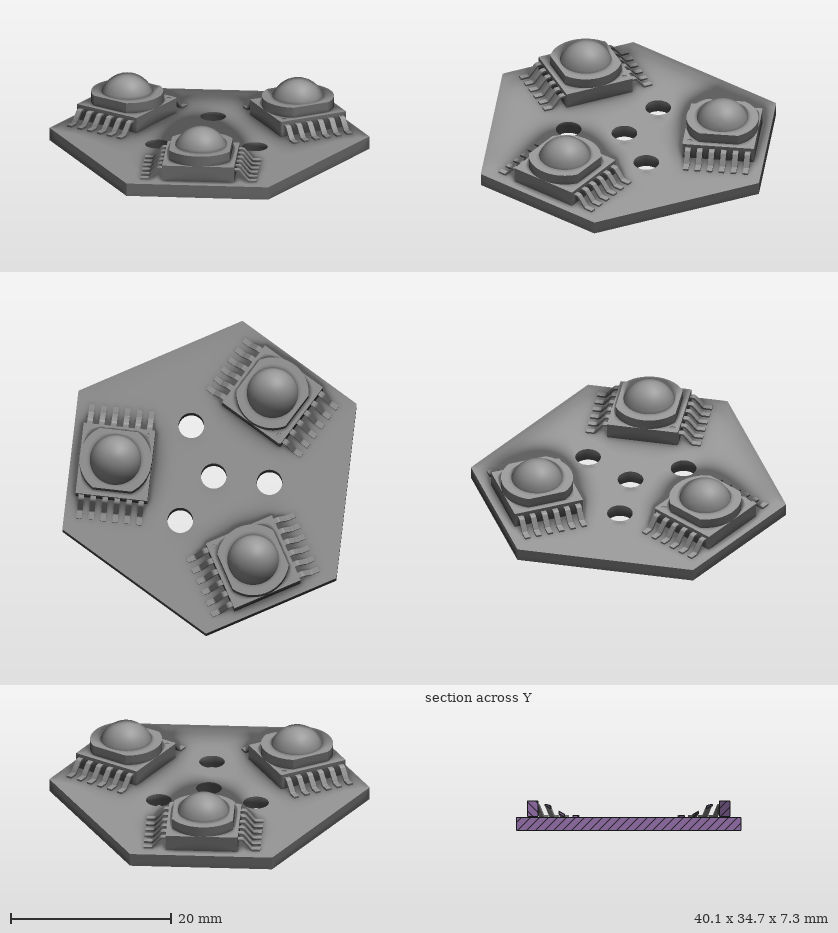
import cadquery as cq
import math

BOARD_WIDTH = 40.1
SHORT_SIDE = 17.75
LONG_SIDE = BOARD_WIDTH - SHORT_SIDE
SHORT_SIDE_DISTANCE = (SHORT_SIDE + 2 * LONG_SIDE) / (2 * math.sqrt(3))
BOARD_THICKNESS = 1.65
HOLE_DIAMETER = 3.2
HOLE_RING_RADIUS = 7.0
REPEAT_ANGLES = (0, 120, 240)

SENSOR_RADIUS = 12.35
OVERALL_HEIGHT = 7.3
PACKAGE_SIZE = 9.0
STANDOFF = 0.1
PACKAGE_TOP = 2.1
MARKED_CORNER_RADIUS = 0.25
COLLAR_TOP = 3.4
COLLAR_DIAMETER = PACKAGE_SIZE
COLLAR_FLAT_WIDTH = 7.6
DOME_BASE_RADIUS = 3.2
DOME_TOP = OVERALL_HEIGHT - BOARD_THICKNESS
MARK_DIAMETER = 0.7
MARK_OFFSET = 3.7
MARK_DEPTH = 0.1

LEADS_PER_SIDE = 6
LEAD_PITCH = PACKAGE_SIZE / LEADS_PER_SIDE
LEAD_WIDTH = 0.7
LEAD_THICKNESS = 0.25
LEAD_INNER_BEND = 0.25
LEAD_OUTER_BEND = LEAD_INNER_BEND + LEAD_THICKNESS
LEAD_TOP = 1.65
LEAD_SHOULDER = 4.9
LEAD_TIP = 7.3
LEAD_SLOPE = math.radians(51)


def point_on_arc(center, radius, angle):
    """Point at an angle from vertical; a negative radius gives the opposite side of the circle."""
    return center[0] + radius * math.sin(angle), center[1] + radius * math.cos(angle)


def make_board():
    half_side = SHORT_SIDE / 2
    corners = []
    for angle in REPEAT_ANGLES:
        turn = math.radians(angle)
        for x in (half_side, -half_side):
            corners.append((
                x * math.cos(turn) - SHORT_SIDE_DISTANCE * math.sin(turn),
                x * math.sin(turn) + SHORT_SIDE_DISTANCE * math.cos(turn),
            ))
    board = cq.Workplane("XY").polyline(corners).close().extrude(BOARD_THICKNESS)
    central_hole = cq.Workplane("XY").circle(HOLE_DIAMETER / 2).extrude(BOARD_THICKNESS)
    board = board.cut(central_hole)
    outer_hole = central_hole.translate((0, -HOLE_RING_RADIUS, 0))
    for angle in REPEAT_ANGLES:
        board = board.cut(outer_hole.rotate((0, 0, 0), (0, 0, 1), angle))
    return board


def make_lead():
    """One lead on the +X side, centred on Y = 0, with its foot on Z = 0."""
    upper = (LEAD_SHOULDER, LEAD_TOP - LEAD_OUTER_BEND)
    foot_z = LEAD_OUTER_BEND
    radii_sum = LEAD_OUTER_BEND + LEAD_INNER_BEND
    drop = upper[1] - foot_z
    run = (radii_sum + drop * math.cos(LEAD_SLOPE)) / math.sin(LEAD_SLOPE)
    foot = (LEAD_SHOULDER + run, foot_z)

    half_slope = LEAD_SLOPE / 2
    root = PACKAGE_SIZE / 2
    return (
        cq.Workplane("XZ")
        .moveTo(root, LEAD_TOP)
        .lineTo(*point_on_arc(upper, LEAD_OUTER_BEND, 0))
        .threePointArc(
            point_on_arc(upper, LEAD_OUTER_BEND, half_slope),
            point_on_arc(upper, LEAD_OUTER_BEND, LEAD_SLOPE),
        )
        .lineTo(*point_on_arc(foot, -LEAD_INNER_BEND, LEAD_SLOPE))
        .threePointArc(
            point_on_arc(foot, -LEAD_INNER_BEND, half_slope),
            point_on_arc(foot, -LEAD_INNER_BEND, 0),
        )
        .lineTo(LEAD_TIP, LEAD_THICKNESS)
        .lineTo(LEAD_TIP, 0)
        .lineTo(*point_on_arc(foot, -LEAD_OUTER_BEND, 0))
        .threePointArc(
            point_on_arc(foot, -LEAD_OUTER_BEND, half_slope),
            point_on_arc(foot, -LEAD_OUTER_BEND, LEAD_SLOPE),
        )
        .lineTo(*point_on_arc(upper, LEAD_INNER_BEND, LEAD_SLOPE))
        .threePointArc(
            point_on_arc(upper, LEAD_INNER_BEND, half_slope),
            point_on_arc(upper, LEAD_INNER_BEND, 0),
        )
        .lineTo(root, LEAD_TOP - LEAD_THICKNESS)
        .close()
        .extrude(LEAD_WIDTH / 2, both=True)
    )


def make_collar():
    """Round collar with a flat on its +X and -X sides."""
    height = COLLAR_TOP - PACKAGE_TOP
    disc = cq.Workplane("XY").circle(COLLAR_DIAMETER / 2).extrude(height)
    flats = cq.Workplane("XY").rect(COLLAR_FLAT_WIDTH, COLLAR_DIAMETER).extrude(height)
    return disc.intersect(flats).translate((0, 0, PACKAGE_TOP))


def make_dome():
    """Spherical cap standing on the collar."""
    rise = DOME_TOP - COLLAR_TOP
    sphere_radius = (DOME_BASE_RADIUS ** 2 + rise ** 2) / (2 * rise)
    sphere_center_z = DOME_TOP - sphere_radius
    half_angle = math.asin(DOME_BASE_RADIUS / sphere_radius)
    halfway = point_on_arc((0, sphere_center_z), sphere_radius, half_angle / 2)
    return (
        cq.Workplane("XZ")
        .moveTo(0, COLLAR_TOP)
        .lineTo(DOME_BASE_RADIUS, COLLAR_TOP)
        .threePointArc(halfway, (0, DOME_TOP))
        .close()
        .revolve(360, (0, 0), (0, 1))
    )


def make_sensor():
    """Package, collar, dome and leads as one solid, centred on the Z axis."""
    sensor = (
        cq.Workplane("XY")
        .workplane(offset=STANDOFF)
        .rect(PACKAGE_SIZE, PACKAGE_SIZE)
        .extrude(PACKAGE_TOP - STANDOFF)
        .edges("|Z and >X and <Y")
        .fillet(MARKED_CORNER_RADIUS)
    )
    mark = (
        cq.Workplane("XY")
        .workplane(offset=PACKAGE_TOP - MARK_DEPTH)
        .center(MARK_OFFSET, -MARK_OFFSET)
        .circle(MARK_DIAMETER / 2)
        .extrude(MARK_DEPTH)
    )
    sensor = sensor.cut(mark).union(make_collar()).union(make_dome())

    lead = make_lead()
    opposite_lead = lead.mirror("YZ")
    for index in range(LEADS_PER_SIDE):
        y = (index - (LEADS_PER_SIDE - 1) / 2) * LEAD_PITCH
        sensor = sensor.union(lead.translate((0, y, 0)))
        sensor = sensor.union(opposite_lead.translate((0, y, 0)))
    return sensor


board = make_board()

placed_sensor = make_sensor().translate((0, SENSOR_RADIUS, BOARD_THICKNESS))
sensors = []
for angle in REPEAT_ANGLES:
    sensor = placed_sensor.rotate((0, 0, 0), (0, 0, 1), angle)
    sensors.append(sensor.solids().val())

result = cq.Compound.makeCompound([board.solids().val(), *sensors])